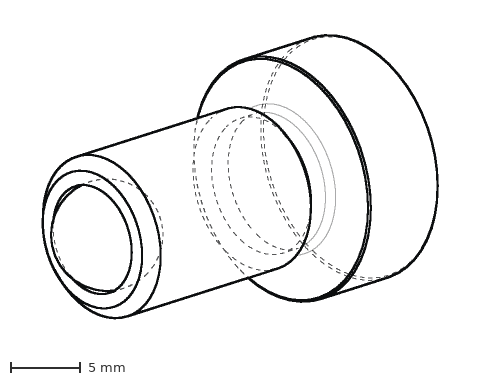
import cadquery as cq
import math

total_length = 28.5
head_diameter = 18.0
head_length = 7.0
head_edge_chamfer = 0.15
neck_diameter = 10.12
neck_length = 1.97
neck_fillet = 0.5
shank_diameter = 12.0
ball_diameter = 8.0
ball_protrusion = 2.55

head_radius = head_diameter / 2
neck_radius = neck_diameter / 2
shank_radius = shank_diameter / 2
ball_radius = ball_diameter / 2
shank_chamfer = shank_radius - neck_radius

shank_end_y = ball_protrusion
head_face_y = total_length - head_length
shank_start_y = head_face_y - neck_length
ball_center_y = ball_radius


def revolve_about_y(profile):
    """Turn a closed half profile in the XY plane around the Y axis."""
    return profile.revolve(360, (0, 0, 0), (0, 1, 0))


def make_ball():
    """Ball that projects from the end of the shank."""
    return cq.Workplane("XY").sphere(ball_radius).translate((0, ball_center_y, 0))


def make_ball_seat():
    """Round-bottomed bore with the ball's diameter, open at the shank end."""
    profile = (
        cq.Workplane("XY")
        .moveTo(0, 0)
        .lineTo(ball_radius, 0)
        .lineTo(ball_radius, ball_center_y)
        .radiusArc((0, ball_center_y + ball_radius), -ball_radius)
        .close()
    )
    return revolve_about_y(profile)


def make_screw():
    """Head, filleted neck and chamfered shank, with the ball seat cut in the end."""
    fillet_offset = neck_fillet * (1 - math.sqrt(0.5))
    profile = (
        cq.Workplane("XY")
        .moveTo(0, shank_end_y)
        .lineTo(neck_radius, shank_end_y)
        .lineTo(shank_radius, shank_end_y + shank_chamfer)
        .lineTo(shank_radius, shank_start_y - shank_chamfer)
        .lineTo(neck_radius, shank_start_y)
        .lineTo(neck_radius, head_face_y - neck_fillet)
        .threePointArc(
            (neck_radius + fillet_offset, head_face_y - fillet_offset),
            (neck_radius + neck_fillet, head_face_y),
        )
        .lineTo(head_radius - head_edge_chamfer, head_face_y)
        .lineTo(head_radius, head_face_y + head_edge_chamfer)
        .lineTo(head_radius, total_length - head_edge_chamfer)
        .lineTo(head_radius - head_edge_chamfer, total_length)
        .lineTo(0, total_length)
        .close()
    )
    return revolve_about_y(profile).cut(make_ball_seat())


screw = make_screw()
ball = make_ball()

result = cq.Compound.makeCompound([screw.val(), ball.val()])